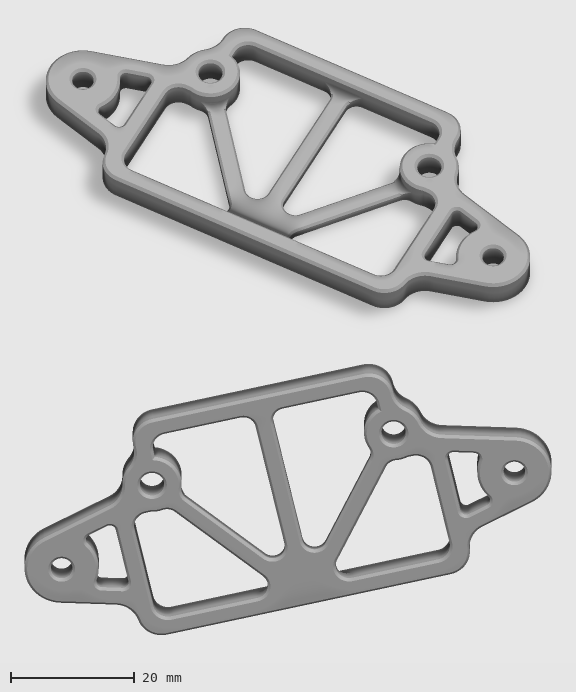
import cadquery as cq
import math

length = 86.95
thickness = 5.0
wall = 2.95
chamfer = 0.4
top_y = 22.0
bottom_y = -15.0

ear_radius = 6.0
ear_x = length / 2 - ear_radius
ear_hole = 3.5
ear_taper = 15.0
ear_pocket_corner = 0.95
ear_root_x = 17.4

boss_x = 20.0
boss_y = 10.95
boss_radius = 4.8
boss_hole = 3.9

lower_half_width = 27.5
upper_half_width = 21.5
outer_corner = 4.0
inner_corner = 2.4
shoulder_y = 6.35
neck_fillet = 4.0
waist_fillet = 4.0
ear_fillet = 4.0

spoke_width = 2.95
spoke_height = 2.0
spoke_chamfer = 0.35
spoke_hub_y = -13.8
spoke_fillet = 2.0
hub_fillet = 2.2
spoke_root_fillet = 0.95

sides = (-1, 1)
inner_bottom_y = bottom_y + wall
inner_top_y = top_y - wall
lower_inner_half = lower_half_width - wall
upper_inner_half = upper_half_width - wall
tolerance = 0.01


def block(half_width, y_low, y_high, height=thickness):
    return (
        cq.Workplane("XY")
        .center(0, (y_low + y_high) / 2)
        .rect(2 * half_width, y_high - y_low)
        .extrude(height)
    )


def disc(x, y, radius):
    return cq.Workplane("XY").center(x, y).circle(radius).extrude(thickness)


def ear_wedge(side, radius):
    """Tapered ear body whose flanks are tangent to a circle of the given radius about the ear hole."""
    slope = math.radians(ear_taper)
    tangent_x = ear_x + radius * math.sin(slope)
    tangent_y = radius * math.cos(slope)
    root_y = tangent_y + (tangent_x - ear_root_x) * math.tan(slope)
    return (
        cq.Workplane("XY")
        .moveTo(side * ear_root_x, -root_y)
        .lineTo(side * tangent_x, -tangent_y)
        .lineTo(side * tangent_x, tangent_y)
        .lineTo(side * ear_root_x, root_y)
        .close()
        .extrude(thickness)
    )


def upright_edges(body, test):
    """Vertical edges whose position (distance from the middle plane, y) passes the test."""
    edges = [e for e in body.edges("|Z").vals() if test(abs(e.Center().x), e.Center().y)]
    return body.newObject(edges)


def outer_body():
    """Solid plate with the full outline, its inside corners rounded."""
    lower = block(lower_half_width, bottom_y, 0).edges("|Z and <Y").fillet(outer_corner)
    upper = block(upper_half_width, 0, top_y).edges("|Z and >Y").fillet(outer_corner)
    body = lower.union(upper)
    for side in sides:
        body = body.union(ear_wedge(side, ear_radius))
        body = body.union(disc(side * ear_x, 0, ear_radius))
        body = body.union(disc(side * boss_x, boss_y, boss_radius))
    waist = upright_edges(body, lambda x, y: x < ear_x and outer_corner + bottom_y < y < 0)
    body = waist.fillet(waist_fillet)
    ear_roots = upright_edges(body, lambda x, y: boss_x < x < ear_x and 0 < y < boss_y)
    body = ear_roots.fillet(ear_fillet)
    necks = upright_edges(body, lambda x, y: boss_y < y < top_y - outer_corner - tolerance)
    return necks.fillet(neck_fillet)


def window(inset=0):
    """Opening inside the frame, pushed in by the two bosses; inset shrinks it evenly all round."""
    corner = inner_corner - inset
    wide = lower_inner_half - inset
    narrow = upper_inner_half - inset
    lower = block(wide, inner_bottom_y + inset, shoulder_y - inset).edges("|Z").fillet(corner)
    middle = block(boss_x, 0, boss_y)
    upper = block(narrow, boss_y, inner_top_y - inset).edges("|Z and >Y").fillet(corner)
    opening = lower.union(middle).union(upper)
    for side in sides:
        opening = opening.cut(disc(side * boss_x, boss_y, boss_radius + inset))
    return opening


def ear_pocket(side):
    """Pocket between the ear boss and the frame, one wall thickness inside the ear flanks."""
    wedge = ear_wedge(side, ear_radius - wall)
    outside_frame = block(lower_half_width, -top_y, top_y)
    pocket = wedge.cut(outside_frame).cut(disc(side * ear_x, 0, ear_radius))
    return pocket.edges("|Z").fillet(ear_pocket_corner)


def pierced_frame():
    """Frame with its window, ear pockets and screw holes."""
    frame = outer_body().cut(window())
    for side in sides:
        frame = frame.cut(ear_pocket(side))
        frame = frame.cut(disc(side * ear_x, 0, ear_hole / 2))
        frame = frame.cut(disc(side * boss_x, boss_y, boss_hole / 2))
    return frame


def spoke(end_x, end_y):
    """Full-height bar from the hub to the given point."""
    rise = end_y - spoke_hub_y
    return (
        cq.Workplane("XY")
        .center(end_x / 2, (end_y + spoke_hub_y) / 2)
        .transformed(rotate=(0, 0, math.degrees(math.atan2(rise, end_x))))
        .rect(math.hypot(end_x, rise), spoke_width)
        .extrude(thickness)
    )


def spoke_openings():
    """The gaps between the spokes, with rounded corners wherever they touch a spoke."""
    spokes = spoke(0, top_y - wall / 2)
    for side in sides:
        spokes = spokes.union(spoke(side * boss_x, boss_y))
    openings = window().cut(spokes)
    gaps = []
    for gap in openings.solids().vals():
        corners = [edge for edge in cq.Workplane(gap).edges("|Z").vals()
                   if edge.distance(spokes.val()) < tolerance]
        hub_corners = [edge for edge in corners if edge.Center().y < inner_bottom_y + tolerance]
        other_corners = [edge for edge in corners if edge not in hub_corners]
        rounded = gap.fillet(spoke_fillet, other_corners)
        if hub_corners:
            rounded = rounded.fillet(hub_fillet, hub_corners)
        gaps.append(rounded)
    return gaps


def spoke_web():
    """Low spokes with chamfered tops, swept up into the frame wall by a concave root fillet."""
    slab = block(length / 2, bottom_y, top_y, spoke_height)
    for gap in spoke_openings():
        slab = slab.cut(cq.Workplane(gap))
    chamfered = slab.faces(">Z").edges().chamfer(spoke_chamfer).intersect(window(spoke_root_fillet))

    ledge = outer_body().cut(window().translate((0, 0, spoke_height)))
    ledge_edges = [edge for edge in ledge.edges().vals()
                   if abs(edge.Center().z - spoke_height) < tolerance]
    roots = ledge.newObject(ledge_edges).fillet(spoke_root_fillet)
    roots = roots.intersect(window()).cut(window(spoke_root_fillet))
    for gap in spoke_openings():
        roots = roots.cut(cq.Workplane(gap))
    return chamfered.union(roots)


frame = pierced_frame().faces(">Z").edges().chamfer(chamfer)
result = frame.union(spoke_web())
result = result.faces("<Z").edges().chamfer(chamfer)